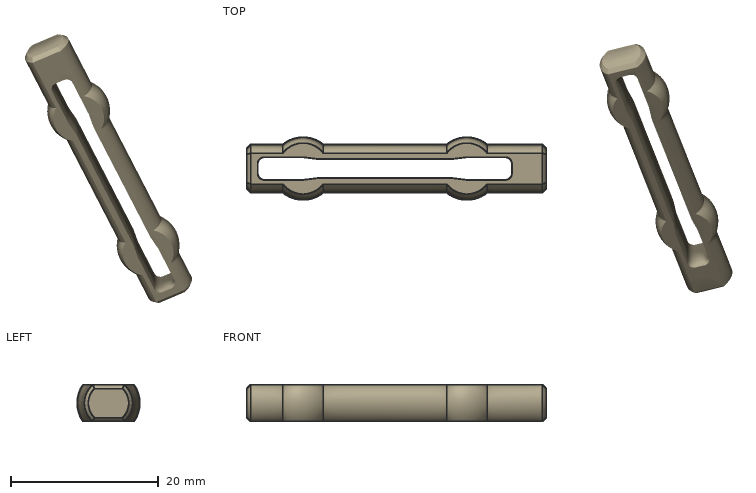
import cadquery as cq

length = 40.6
height = 5.0
rod_diameter = 6.55
end_chamfer = 0.53

ball_diameter = 8.55
first_ball_x = 7.65
ball_spacing = 22.2
second_ball_x = first_ball_x + ball_spacing

slot_start = 1.5
slot_end = 35.95
slot_wide = 3.05
slot_narrow = 2.55
taper_length = 2.0
slot_corner_radius = 0.9


def flatted_rod():
    rod = cq.Workplane("YZ").circle(rod_diameter / 2).extrude(length)
    slab = cq.Workplane("XY").box(length, rod_diameter, height).translate((length / 2, 0, 0))
    return rod.intersect(slab).faces("<X or >X").chamfer(end_chamfer)


def flatted_ball(center_x):
    ball = cq.Workplane("XY").sphere(ball_diameter / 2)
    slab = cq.Workplane("XY").box(ball_diameter, ball_diameter, height)
    return ball.intersect(slab).translate((center_x, 0, 0))


def waisted_slot():
    upper_edge = [
        (slot_start, slot_wide / 2),
        (first_ball_x, slot_wide / 2),
        (first_ball_x + taper_length, slot_narrow / 2),
        (second_ball_x - taper_length, slot_narrow / 2),
        (second_ball_x, slot_wide / 2),
        (slot_end, slot_wide / 2),
    ]
    lower_edge = [(x, -y) for x, y in reversed(upper_edge)]
    slot = cq.Workplane("XY").polyline(upper_edge + lower_edge).close().extrude(height / 2, both=True)
    return slot.faces("<X or >X").edges("|Z").fillet(slot_corner_radius)


body = flatted_rod()
for ball_x in (first_ball_x, second_ball_x):
    body = body.union(flatted_ball(ball_x))

result = body.cut(waisted_slot())